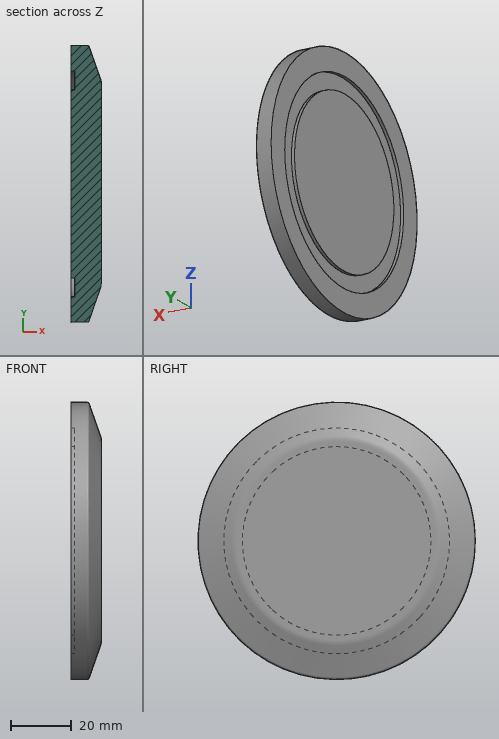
import cadquery as cq

outer_radius = 45.5
thickness = 10.0
rim_width = 5.8
back_radius = 33.6
rim_round = 0.9
back_round = 4.55

groove_outer_radius = 37.0
groove_inner_radius = 30.9
groove_depth = 1.2


def make_disc():
    """Cylindrical rim followed by a cone, with both cone edges rounded."""
    blank = (
        cq.Workplane("XY")
        .polyline([
            (0, 0),
            (0, outer_radius),
            (rim_width, outer_radius),
            (thickness, back_radius),
            (thickness, 0),
        ])
        .close()
        .revolve(360, (0, 0, 0), (1, 0, 0))
    )
    rim_rounded = blank.faces("%CYLINDER").edges(">X").fillet(rim_round)
    return rim_rounded.faces(">X").edges().fillet(back_round)


def make_groove():
    """Ring of material removed from the front face."""
    return (
        cq.Workplane("YZ")
        .circle(groove_outer_radius)
        .circle(groove_inner_radius)
        .extrude(groove_depth)
    )


result = make_disc().cut(make_groove())